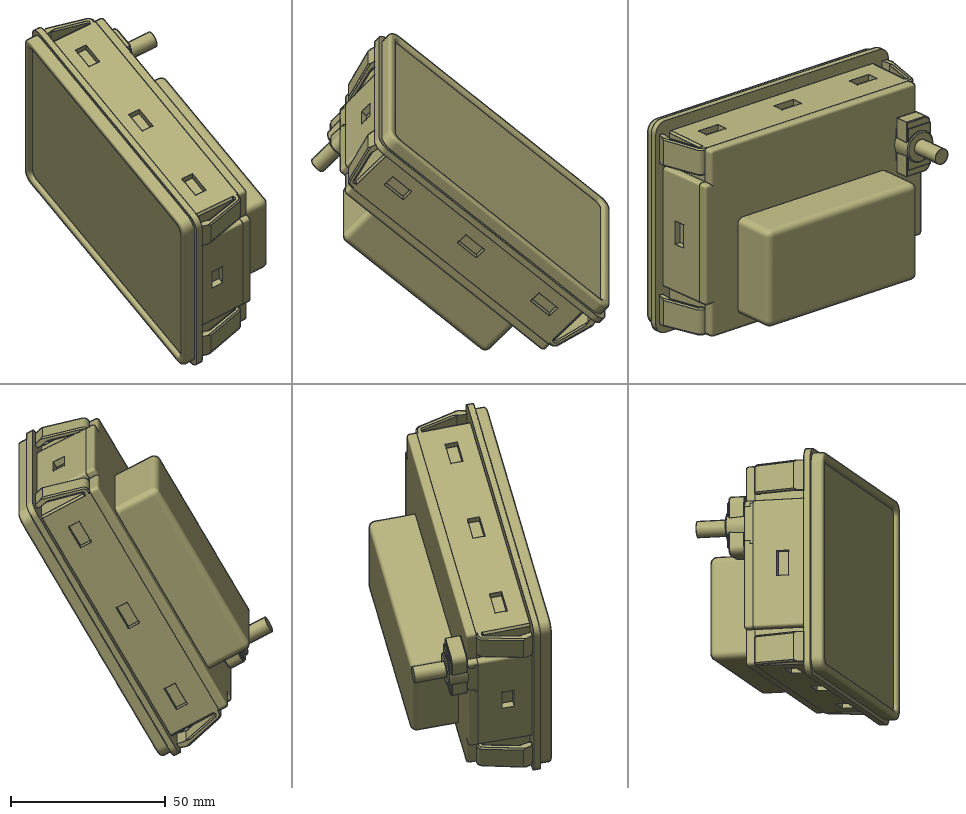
import cadquery as cq
import math


selection_margin = 0.1

flange_front = 4.0
housing_front = 6.2
cover_front = 24.0
cover_back = 27.2
box_back = 42.6
cable_end = 44.1

flange_width = 98.4
flange_height = 74.4
flange_inset = 1.3
front_corner_radius = 4.0
bezel_edge_radius = 1.0
bezel_width = flange_width - 2 * flange_inset
bezel_height = flange_height - 2 * flange_inset

lip_radius = 1.3
screen_front = 1.5
rim_width = 2.9
screen_corner_radius = 2.4
screen_width = bezel_width - 2 * rim_width
screen_height = bezel_height - 2 * rim_width

draft_angle = 1.0
core_width = 86.8
body_height = 65.5
band_width = 91.5
band_height = 42.1
band_edge_radius = 1.0
cover_edge_radius = 1.0
cover_corner_radius = 1.2
slot_edge_chamfer = 0.7

recess_length = 8.2
recess_width = 4.0
recess_depth = 2.2
recess_middle = 14.1
recess_pitch = 31.9

arm_bottom = 23.3
arm_root_front = 21.6
arm_root_outer = 45.2
slot_end_x = 43.9
arm_root_radius = 2.1
arm_peak_x = 48.9
arm_peak_y = 9.6
arm_tip_outer = 47.9
arm_tip_y = 6.5
arm_thickness = 2.1
arm_tip_thickness = 1.6
arm_chamfer = 0.5
arm_root_overlap = 0.9

box_width = 63.2
box_height = 33.85
box_middle_x = 0.6
box_middle_z = -10.8
box_edge_radius = 2.2

cable_x = -39.8
cable_z = 13.5
cable_radius = 2.7
cone_base_radius = 5.6
cone_top_radius = 5.4
cone_top = 33.7
cone_edge_chamfer = 0.4
gland_width = 9.8
gland_height = 19.2
gland_top = 32.6
gland_corner_radius = 2.5
gland_edge_chamfer = 0.3
pad_height = 14.5
pad_top = 33.0
foot_height = 11.1
foot_rim_height = 13.3
foot_rim_thickness = 1.0
foot_inner_x = cable_x + gland_width / 2


def sketch_at(y):
    """Workplane facing the front; negative extrusions run towards the back."""
    return cq.Workplane("XZ", origin=(0, y, 0))


def slab(width, height, front, back, middle_x=0.0, middle_z=0.0):
    return sketch_at(front).center(middle_x, middle_z).rect(width, height).extrude(front - back)


def drafted_size(back_size, y):
    """Full size at depth y of a part of the housing whose two sides narrow towards the back."""
    return back_size + 2 * (cover_front - y) * math.tan(math.radians(draft_angle))


def housing_slab(front_width, front_height, back_width, back_height):
    return (
        sketch_at(housing_front)
        .rect(front_width, front_height)
        .workplane(offset=housing_front - cover_front)
        .rect(back_width, back_height)
        .loft(ruled=True)
    )


def make_screen():
    screen = slab(screen_width, screen_height, screen_front, flange_front)
    return screen.edges("|Y").fillet(screen_corner_radius)


def make_bezel():
    bezel = slab(bezel_width, bezel_height, 0, flange_front)
    bezel = bezel.edges("|Y").fillet(front_corner_radius)
    bezel = bezel.faces("<Y").edges().fillet(bezel_edge_radius)
    opening = slab(screen_width, screen_height, 0, flange_front)
    opening = opening.edges("|Y").fillet(screen_corner_radius)
    bezel = bezel.cut(opening)
    reach_x = screen_width / 2 + selection_margin
    reach_z = screen_height / 2 + selection_margin
    lip_edges = cq.selectors.BoxSelector(
        (-reach_x, -selection_margin, -reach_z),
        (reach_x, selection_margin, reach_z),
        boundingbox=True,
    )
    return bezel.edges(lip_edges).fillet(lip_radius)


def make_flange():
    flange = slab(flange_width, flange_height, flange_front, housing_front)
    return flange.edges("|Y").fillet(front_corner_radius)


def edges_between(body, start_y, end_y):
    """Edges of a body whose middles lie between two depths."""
    reach = flange_width
    return body.edges(cq.selectors.BoxSelector((-reach, start_y, -reach), (reach, end_y, reach)))


def long_edges(body):
    """Edges running the whole depth of the housing."""
    middle_y = (housing_front + cover_front) / 2
    return edges_between(body, middle_y - selection_margin, middle_y + selection_margin)


def make_arm():
    """Snap arm at +X, +Z: a root on the core, a slanted blade and a tip bent back inwards."""
    front_height = drafted_size(body_height, housing_front)
    root_inner = core_width / 2 - arm_root_overlap
    slot_end_radius = (slot_end_x - core_width / 2) / 2
    slot_end_crown = (core_width / 2 + slot_end_radius, arm_root_front + slot_end_radius)
    arm = (
        cq.Workplane("XY", origin=(0, 0, arm_bottom))
        .moveTo(root_inner, cover_front)
        .lineTo(arm_root_outer, cover_front)
        .lineTo(arm_peak_x, arm_peak_y)
        .lineTo(arm_tip_outer, arm_tip_y)
        .lineTo(arm_tip_outer - arm_tip_thickness, arm_tip_y)
        .lineTo(arm_peak_x - arm_thickness, arm_peak_y)
        .lineTo(slot_end_x, arm_root_front)
        .threePointArc(slot_end_crown, (core_width / 2, arm_root_front))
        .lineTo(root_inner, arm_root_front)
        .close()
        .extrude(front_height / 2 - arm_bottom)
    )
    root_corner = cq.selectors.NearestToPointSelector((arm_root_outer, cover_front, front_height / 2))
    arm = arm.edges("|Z").edges(root_corner).fillet(arm_root_radius)
    arm = arm.intersect(housing_slab(flange_width, front_height, flange_width, body_height))
    slot_end_y = arm_root_front + slot_end_radius
    blade_edges = edges_between(arm, arm_peak_y + selection_margin, slot_end_y + selection_margin)
    return blade_edges.edges("not |Z").chamfer(arm_chamfer)


def make_recesses():
    middles = [-recess_pitch, 0, recess_pitch]
    top_face = drafted_size(body_height, recess_middle) / 2
    side_face = drafted_size(band_width, recess_middle) / 2
    recesses = cq.Workplane("XY")
    for side in (-1, 1):
        for x in middles:
            recesses = recesses.union(
                cq.Workplane("XY", origin=(x, recess_middle, side * top_face))
                .box(recess_length, recess_width, 2 * recess_depth)
            )
        recesses = recesses.union(
            cq.Workplane("XY", origin=(side * side_face, recess_middle, 0))
            .box(2 * recess_depth, recess_width, recess_length)
        )
    return recesses


def make_housing():
    core = housing_slab(core_width, drafted_size(body_height, housing_front), core_width, body_height)
    core = long_edges(core).chamfer(slot_edge_chamfer)
    band = housing_slab(drafted_size(band_width, housing_front), band_height, band_width, band_height)
    band = long_edges(band).fillet(band_edge_radius)
    housing = core.union(band)
    upper_arm = make_arm()
    for arm in (upper_arm, upper_arm.mirror("XY")):
        housing = housing.union(arm).union(arm.mirror("YZ"))
    return housing.cut(make_recesses())


def gland_foot(height, front, back):
    """Part of the gland foot, with its outer end flush with the side of the band."""
    outer_x = -band_width / 2
    return slab(foot_inner_x - outer_x, height, front, back, (foot_inner_x + outer_x) / 2, cable_z)


def make_foot():
    rim = gland_foot(foot_rim_height, cover_front, cover_front + foot_rim_thickness)
    return rim.union(gland_foot(foot_height, cover_front, cover_back))


def make_cover_blank():
    core = slab(core_width, body_height, cover_front, cover_back).edges("|Y").fillet(cover_corner_radius)
    band = slab(band_width, band_height, cover_front, cover_back).edges("|Y").fillet(band_edge_radius)
    return core.union(band).faces(">Y").edges().fillet(cover_edge_radius)


def make_cover():
    box = slab(box_width, box_height, cover_back, box_back, box_middle_x, box_middle_z)
    box = box.edges("|Y").fillet(box_edge_radius)
    box = box.faces(">Y").edges().fillet(box_edge_radius)
    return make_cover_blank().union(box).cut(make_gland_blank())


def make_gland_blank():
    """Gland without its cable hole: foot, body, pad and a tapered boss around the cable."""
    foot = make_foot().intersect(make_cover_blank())
    body = slab(gland_width, gland_height, cover_back, gland_top, cable_x, cable_z)
    body = body.edges("|Y and <X").fillet(gland_corner_radius)
    body = body.faces("<Y or >Y").edges().chamfer(gland_edge_chamfer)
    pad = slab(gland_width - 2 * gland_edge_chamfer, pad_height, gland_top, pad_top, cable_x, cable_z)
    cone_front = cover_back - cover_edge_radius
    cone = (
        sketch_at(cone_front)
        .center(cable_x, cable_z)
        .circle(cone_base_radius)
        .workplane(offset=cone_front - cone_top)
        .circle(cone_top_radius)
        .loft()
        .faces(">Y")
        .chamfer(cone_edge_chamfer)
    )
    return foot.union(body).union(pad).union(cone)


def make_cable():
    profile = sketch_at(cover_front).center(cable_x, cable_z).circle(cable_radius)
    return profile.extrude(cover_front - cable_end)


cable = make_cable()
gland = make_gland_blank().cut(cable)

result = cq.Compound.makeCompound(
    [
        make_bezel().val(),
        make_screen().val(),
        make_flange().val(),
        make_housing().val(),
        make_cover().val(),
        gland.val(),
        cable.val(),
    ]
)